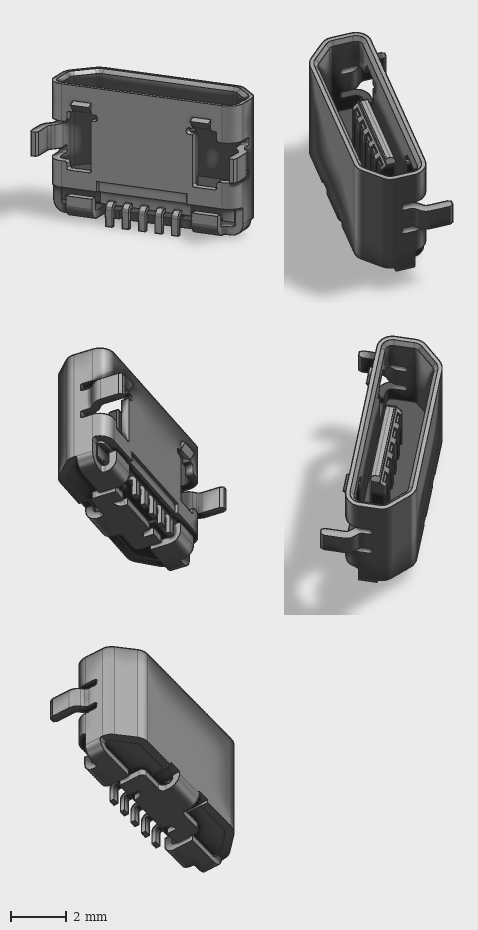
import cadquery as cq
import math


margin = 0.08
width_limit = 4.1

sheet = 0.3
shell_half_width = 3.77
shell_depth = 2.49
shell_top = 5.15
shell_bottom = 0.61
front_wall_bottom = 1.25
corner_chamfer = 0.935
corner_radius = 0.57
lead_in = 0.15
side_wall_front = 0.565
skirt_fillet = 0.14

window_inner = 2.02
window_outer = 2.985
window_bottom = 1.935
window_top = 4.14
side_bottom = 2.25
side_top = 3.75
side_slot_end = 1.07
window_fillet = 0.09
relief_end = 1.77
relief_height = 0.25
relief_round = 0.115

barb_outer = 2.75
barb_root_top = 4.57
barb_root_bottom = 4.19
barb_tip = (-0.18, 4.45)

arm_bottom = 2.54
arm_top = 3.45
arm_root = 0.72
arm_bend = 45.0
arm_root_radius = 0.21
arm_knee_radius = 0.255
arm_reach = 0.79
arm_tip_inset = 0.065
arm_tip_length = 0.13

fold_bottom = 0.13
fold_radius = shell_bottom - fold_bottom - sheet
side_flap_back = 1.21
side_flap_fillet = 0.1
hook_inner = 1.985
hook_outer = 3.01
hook_top = 0.95
hook_radius = 0.13
hook_fillet = 0.1
back_flap_half = 1.77
back_flap_front = 0.67
neck_half = 0.615
neck_end = 1.895
neck_shoulder = 1.52
flap_slot_inner = 0.86
flap_slot_outer = 1.2
flap_slot_fillet = 0.295
flap_slot_depth = 0.41
neck_relief_half = 1.14
neck_relief_top = 0.755

body_half_width = 3.435
body_front = 0.34
body_chamfer = 0.78
body_corner = 0.205
floor = 1.65
body_bottom = 0.73
body_step_top = 1.15
body_step_half = 1.8
body_step_front = 0.55
foot_bottom = 0.62
foot_inner = 1.14
foot_bevel_half = 2.95
foot_bevel_run = 0.05
key_front = 0.1
key_half = 1.74
key_notch_half = 1.795
peg_half = 0.49
peg_bottom = 0.52
peg_slope_start = 1.75
peg_slope_end = 1.99
peg_back = 2.16
peg_chamfer = 0.05

tongue_half = 1.7
tongue_front = 0.61
tongue_back = 1.205
tongue_top = 3.94
tongue_round = 0.17
tongue_end_chamfer = 0.16
tongue_flat_end = 0.935
tongue_bevel_start = 0.98
tongue_ease = 0.025
tongue_step = 0.205
tongue_corner = 0.065
contact_face = 1.13
contact_tip = 1.06
groove_width = 0.4
pin_count = 5
pin_pitch = 0.66
pin_width = 0.255
pin_thickness = 0.17
pin_top = 0.88
pin_bend = 0.07

shell_inner_back = shell_depth - sheet
pin_places = [(i - (pin_count - 1) / 2) * pin_pitch for i in range(pin_count)]


def block(x_range, y_range, z_range):
    """Box given by its limits along X, Y and Z."""
    (x0, x1), (y0, y1), (z0, z1) = x_range, y_range, z_range
    return cq.Workplane("XY").box(x1 - x0, y1 - y0, z1 - z0, centered=False).translate((x0, y0, z0))


def both_sides(solid):
    """The solid together with its mirror image across X = 0."""
    return solid.union(solid.mirror("YZ"))


def yz_prism(points, x0, x1):
    """Polygon in Y and Z extruded from x0 to x1."""
    return cq.Workplane("YZ").polyline(points).close().extrude(x1 - x0).translate((x0, 0, 0))


def bent_strip(plane, start, heading, thickness, moves, width):
    """Bent strip drawn in a plane and extruded by width.

    The start is on the left-hand edge. Each move is (length, turn, inner radius): go straight,
    then turn by that many degrees, positive to the left.
    """
    x, y = start

    def right_of(px, py, angle, distance):
        return px + distance * math.sin(angle), py - distance * math.cos(angle)

    angle = math.radians(heading)
    left = [(x, y)]
    right = [right_of(x, y, angle, thickness)]
    arcs = []
    for length, turn, inner_radius in moves:
        if length > 0:
            x += length * math.cos(angle)
            y += length * math.sin(angle)
            left.append((x, y))
            right.append(right_of(x, y, angle, thickness))
            arcs.append(None)
        if turn == 0:
            continue
        offset = -inner_radius if turn > 0 else inner_radius + thickness
        cx, cy = right_of(x, y, angle, offset)
        middle = angle + math.radians(turn) / 2
        angle += math.radians(turn)
        arcs.append((right_of(cx, cy, middle, -offset), right_of(cx, cy, middle, thickness - offset)))
        x, y = right_of(cx, cy, angle, -offset)
        left.append((x, y))
        right.append(right_of(x, y, angle, thickness))

    outline = cq.Workplane(plane).moveTo(*left[0])
    for point, arc in zip(left[1:], arcs):
        outline = outline.threePointArc(arc[0], point) if arc else outline.lineTo(*point)
    outline = outline.lineTo(*right[-1])
    for point, arc in zip(reversed(right[:-1]), reversed(arcs)):
        outline = outline.threePointArc(arc[1], point) if arc else outline.lineTo(*point)
    return outline.close().extrude(width)


def d_prism(half_width, front, back, chamfer, z0, z1):
    """Upright prism with two slanted back corners."""
    points = [
        (-half_width, front),
        (half_width, front),
        (half_width, back - chamfer),
        (half_width - chamfer, back),
        (chamfer - half_width, back),
        (-half_width, back - chamfer),
    ]
    return cq.Workplane("XY").polyline(points).close().extrude(z1 - z0).translate((0, 0, z0))


def shell_prism(inset, z0, z1):
    """Shell outline moved inward by inset, with rounded corners."""
    chamfer = corner_chamfer - inset * (2 - math.sqrt(2))
    prism = d_prism(shell_half_width - inset, inset, shell_depth - inset, chamfer, z0, z1)
    return prism.edges("|Z").fillet(corner_radius - inset)


def make_tube():
    """Shell tube with its lead-in chamfer and shortened front wall."""
    tube = shell_prism(0, shell_bottom, shell_top).cut(shell_prism(sheet, 0, shell_top))
    mouth = shell_prism(sheet - lead_in, shell_top - lead_in, shell_top + lead_in)
    tube = tube.cut(mouth.faces("<Z").chamfer(lead_in))
    below_front = block((-width_limit, width_limit), (-margin, side_wall_front), (0, front_wall_bottom))
    tube = tube.cut(below_front.edges(">Y and >Z").fillet(skirt_fillet))
    tube = tube.cut(block((-key_notch_half, key_notch_half), (-margin, body_front), (0, floor)))
    relief_depth = (shell_inner_back - margin, shell_depth + margin)
    relief = block((neck_half, neck_relief_half), relief_depth, (0, neck_relief_top))
    return tube.cut(both_sides(relief))


def make_window():
    """Cutter for the left window, its relief, and the slots above and below the arm."""
    beyond = -shell_half_width - margin
    wall = (-margin, sheet)
    side_inner = sheet - shell_half_width + corner_radius
    front = block((-window_outer, -window_inner), wall, (window_bottom, window_top))
    window = front.edges("|Y").fillet(window_fillet)
    window = window.union(block((beyond, margin - window_outer), wall, (side_bottom, side_top)))
    for z in (side_bottom, side_top):
        corner = cq.selectors.NearestToPointSelector((-window_outer, 0, z))
        window = window.edges("|Y").edges(corner).fillet(window_fillet)
    window = window.union(block((beyond, side_inner), (0, arm_root), (side_bottom, side_top)))
    for z0, z1 in ((side_bottom, arm_bottom), (arm_top, side_top)):
        slot = block((beyond, side_inner), (sheet, side_slot_end), (z0, z1))
        window = window.union(slot.edges("|X and >Y").fillet(window_fillet))
    relief_z = (window_top - relief_height, window_top)
    relief = block((-window_inner - relief_height, -relief_end), wall, relief_z)
    window = window.union(relief.edges("|Y and >X").fillet(relief_round))
    rise = sheet * (barb_root_top - barb_tip[1]) / -barb_tip[0]
    under_barb = [
        (0, window_top - margin),
        (0, barb_root_bottom),
        (sheet, barb_root_bottom + rise),
        (sheet, window_top - margin),
    ]
    return window.union(yz_prism(under_barb, -barb_outer, -window_inner))


def make_barb():
    return yz_prism([(0, barb_root_top), barb_tip, (0, barb_root_bottom)], -barb_outer, -window_inner)


def make_arm():
    """Left arm: leaves the side wall in an S-bend and points forward."""
    bend = math.radians(arm_bend)
    root_outer = arm_root_radius
    knee_outer = arm_knee_radius + sheet
    bend_shift = (root_outer + knee_outer) * (1 - math.cos(bend))
    slant = (width_limit - shell_half_width - bend_shift) / math.sin(bend)
    bend_length = (root_outer + knee_outer) * math.sin(bend) + slant * math.cos(bend)
    finger = arm_root + arm_reach - bend_length
    moves = [(0, -arm_bend, arm_root_radius), (slant, arm_bend, arm_knee_radius), (finger, 0, 0)]
    arm = bent_strip("XY", (-shell_half_width + sheet, arm_root), 270, sheet, moves, arm_top - arm_bottom)
    for edge, inward in ((-width_limit, 1), (-width_limit + sheet, -1)):
        corner = [(edge, -arm_reach), (edge + inward * arm_tip_inset, -arm_reach),
                  (edge, -arm_reach + arm_tip_length)]
        arm = arm.cut(cq.Workplane("XY").polyline(corner).close().extrude(arm_top - arm_bottom))
    return arm.translate((0, 0, arm_bottom))


def make_side_flap():
    """Left flap folded under the body, with a hook that turns up at the front."""
    fillet_end = side_flap_back + side_flap_fillet
    flap_run = shell_half_width - sheet - fold_radius - hook_inner
    flap = bent_strip("XZ", (-shell_half_width + sheet, shell_bottom), 270, sheet,
                      [(0, 90, fold_radius), (flap_run, 0, 0)], side_wall_front - fillet_end)
    flap = flap.translate((0, side_wall_front, 0))
    behind_flap = block((-width_limit, 0), (side_flap_back, fillet_end + margin), (0, shell_bottom))
    flap = flap.cut(behind_flap.edges("<Y and >Z").fillet(side_flap_fillet))
    bend_outer = hook_radius + sheet
    hook = bent_strip("YZ", (side_wall_front, fold_bottom), 180, sheet,
                      [(side_wall_front - bend_outer, -90, hook_radius),
                       (hook_top - fold_bottom - bend_outer, 0, 0)], hook_outer - hook_inner)
    flap = flap.union(hook.translate((-hook_outer, 0, 0)))
    sheet_middle = fold_bottom + sheet / 2
    inner_corner = cq.selectors.NearestToPointSelector((-hook_outer, side_wall_front, sheet_middle))
    return flap.edges("|Z").edges(inner_corner).fillet(hook_fillet)


def make_back_flap():
    """Flap folded forward from the back wall: a neck that widens to a slotted plate."""
    run = shell_depth - sheet - fold_radius - back_flap_front
    strip = bent_strip("YZ", (shell_depth, shell_bottom), 270, sheet,
                       [(0, -90, fold_radius), (run, 0, 0)], 2 * back_flap_half)
    neck = block((-neck_half, neck_half), (neck_shoulder, shell_depth + margin), (0, shell_bottom))
    shoulder = (neck_end + neck_shoulder) / 2
    plate = block((-back_flap_half, back_flap_half), (back_flap_front, shoulder), (0, shell_bottom))
    plate = plate.edges("|Z and >Y").fillet(shoulder - neck_shoulder)
    slot_depth = (back_flap_front - margin, back_flap_front + flap_slot_depth)
    slot = block((-flap_slot_outer, -flap_slot_inner), slot_depth, (0, shell_bottom))
    slot = slot.edges("|Z and >Y and >X").fillet(flap_slot_fillet)
    outline = plate.union(neck)
    for x in (-neck_half, neck_half):
        inner_corner = cq.selectors.NearestToPointSelector((x, shoulder, shell_bottom / 2))
        outline = outline.edges("|Z").edges(inner_corner).fillet(neck_end - shoulder)
    outline = outline.cut(both_sides(slot))
    return strip.translate((-back_flap_half, 0, 0)).intersect(outline)


def make_body():
    """Plastic body that closes the lower end of the shell."""
    body = d_prism(body_half_width, body_front, shell_inner_back, body_chamfer, foot_bottom, floor)
    body = body.edges("|Z").fillet(body_corner)
    step = block((-width_limit, -body_step_half), (0, body_step_front), (0, body_step_top))
    body = body.cut(both_sides(step))
    body = body.cut(block((-foot_inner, foot_inner), (0, shell_depth), (0, body_bottom)))
    bevel_end = body_step_front + foot_bevel_run
    bevel = [
        (0, 0),
        (0, body_bottom),
        (body_step_front, body_bottom),
        (bevel_end, foot_bottom),
        (bevel_end, 0),
    ]
    body = body.cut(yz_prism(bevel, -foot_bevel_half, foot_bevel_half))
    body = body.union(block((-key_half, key_half), (key_front, body_front), (front_wall_bottom, floor)))
    peg = [
        (peg_slope_start, body_bottom),
        (peg_slope_end, peg_bottom),
        (peg_back - peg_chamfer, peg_bottom),
        (peg_back, peg_bottom + peg_chamfer),
        (peg_back, body_bottom),
    ]
    return body.union(yz_prism(peg, -peg_half, peg_half))


def make_tongue():
    """Contact tongue with a rounded front edge, bevelled tip and one groove per contact."""
    bevel = tongue_back - tongue_bevel_start
    bevel_top = tongue_top - tongue_step
    contact_top = bevel_top - bevel
    round_mid = tongue_round * (1 - math.sqrt(0.5))
    profile = (
        cq.Workplane("YZ")
        .moveTo(tongue_front, floor)
        .lineTo(tongue_front, tongue_top - tongue_round)
        .threePointArc((tongue_front + round_mid, tongue_top - round_mid),
                       (tongue_front + tongue_round, tongue_top))
        .lineTo(tongue_flat_end, tongue_top)
        .lineTo(tongue_bevel_start, tongue_top - tongue_ease)
        .lineTo(tongue_bevel_start, bevel_top)
        .lineTo(tongue_back, contact_top)
        .lineTo(tongue_back, floor)
        .close()
    )
    tongue = profile.extrude(tongue_half, both=True)
    outline = block((-tongue_half, tongue_half), (tongue_front, tongue_back), (floor, tongue_top))
    outline = outline.edges("|Z").chamfer(tongue_corner)
    outline = outline.faces(">Z").edges("|Y").chamfer(tongue_end_chamfer)
    tongue = tongue.intersect(outline)
    groove = [
        (tongue_back + margin, floor),
        (contact_face, floor),
        (contact_face, contact_top - contact_face + contact_tip),
        (contact_tip, contact_top),
        (contact_tip, tongue_top),
        (tongue_back + margin, tongue_top),
    ]
    for x in pin_places:
        tongue = tongue.cut(yz_prism(groove, x - groove_width / 2, x + groove_width / 2))
    return tongue


def make_pins():
    """Pins that leave the front of the body and bend down."""
    bend_outer = pin_bend + pin_thickness
    pin = bent_strip("YZ", (body_front, pin_top - pin_thickness), 180, pin_thickness,
                     [(body_front - bend_outer, 90, pin_bend), (pin_top - bend_outer, 0, 0)], pin_width)
    pins = cq.Workplane("XY")
    for x in pin_places:
        pins = pins.union(pin.translate((x - pin_width / 2, 0, 0)))
    return pins


shell = make_tube().cut(both_sides(make_window()))
for side_part in (make_barb(), make_arm(), make_side_flap()):
    shell = shell.union(both_sides(side_part))
shell = shell.union(make_back_flap())
result = shell.union(make_body()).union(make_tongue()).union(make_pins())